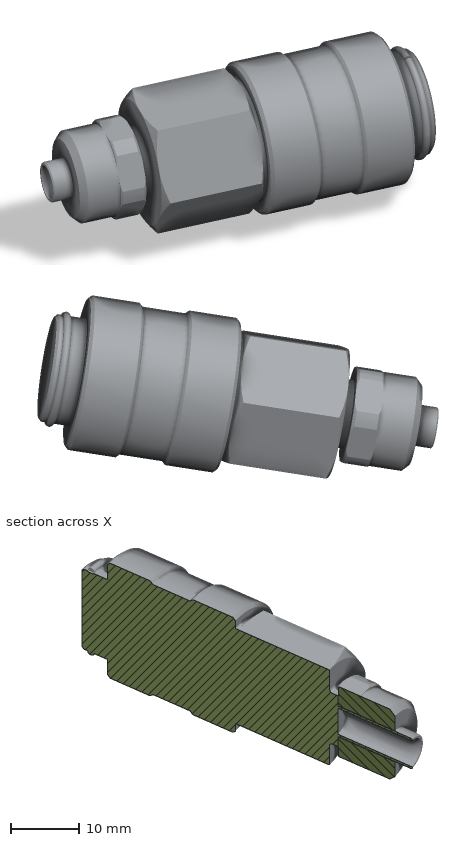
import cadquery as cq
import math


tube_length = 3.0
nut_length = 10.0
neck_length = 1.5
hex_length = 16.0
waist_length = 0.5
sleeve_length = 22.5
plug_length = 4.5

tube_diameter = 6.1
shank_diameter = 6.25
bore_diameter = 5.1
neck_diameter = 10.2
waist_diameter = 19.0
sleeve_diameter = 23.0
sleeve_groove_diameter = 22.0
plug_diameter = 16.0

tube_tip_chamfer = 0.2
shank_taper_length = 0.2
bore_depth = tube_length + nut_length
neck_fillet = 0.5
collar_length = 8.0
collar_chamfer = 0.5
plug_chamfer = 0.4
hex_across_flats = 19.0
hex_chamfer_angle = 30.0

wire_diameter = 1.2
ring_outer_diameter = 17.1
ring_setback = 1.6
ring_gap = 0.45
ring_groove_width = 1.1
ring_groove_depth = 0.15

nut_across_flats = 14.0
nut_corner_diameter = 15.0
nut_barrel_diameter = 14.0
nut_hex_length = 4.0
nut_rear_chamfer = 0.4
nut_shoulder_chamfer = 0.25
nut_front_chamfer = 1.0

nut_front = tube_length
nut_rear = nut_front + nut_length
hex_front = nut_rear + neck_length
hex_rear = hex_front + hex_length
sleeve_front = hex_rear + waist_length
sleeve_rear = sleeve_front + sleeve_length
plug_end = sleeve_rear + plug_length
ring_station = plug_end - ring_setback


def turned(points):
    """Solid of revolution about Y from (radius, y) points, closed along the axis."""
    rim = [(y, radius) for radius, y in points]
    start = (rim[0][0], 0)
    end = (rim[-1][0], 0)
    return cq.Workplane("YZ").polyline([start, *rim, end]).close().revolve(360, (0, 0), (1, 0))


def cylinder(diameter, start, end):
    return turned([(diameter / 2, start), (diameter / 2, end)])


def across_corners(across_flats):
    return across_flats / math.cos(math.pi / 6)


def hex_bar(across_flats, start, end):
    """Hexagonal bar along Y with corners on the X axis."""
    return (
        cq.Workplane("XZ", origin=(0, start, 0))
        .polygon(6, across_corners(across_flats))
        .extrude(start - end)
    )


def wrench_hex():
    """Coupling hexagon with its corners turned down to the across-flats circle at both ends."""
    flat_radius = hex_across_flats / 2
    corner_radius = across_corners(hex_across_flats) / 2
    chamfer_length = (corner_radius - flat_radius) * math.tan(math.radians(hex_chamfer_angle))
    turning = turned([
        (flat_radius, hex_front),
        (corner_radius, hex_front + chamfer_length),
        (corner_radius, hex_rear - chamfer_length),
        (flat_radius, hex_rear),
    ])
    return hex_bar(hex_across_flats, hex_front, hex_rear).intersect(turning)


def sleeve():
    """Grip sleeve: two chamfered collars with a shallow groove between them."""
    collar_radius = sleeve_diameter / 2
    front_collar_end = sleeve_front + collar_length
    rear_collar_start = sleeve_rear - collar_length
    body = cylinder(sleeve_groove_diameter, sleeve_front, sleeve_rear)
    for start, end in ((sleeve_front, front_collar_end), (rear_collar_start, sleeve_rear)):
        body = body.union(turned([
            (collar_radius - collar_chamfer, start),
            (collar_radius, start + collar_chamfer),
            (collar_radius, end - collar_chamfer),
            (collar_radius - collar_chamfer, end),
        ]))
    return body


def plug():
    """Stepped plug end with the ring groove."""
    radius = plug_diameter / 2
    groove_floor = radius - ring_groove_depth
    groove_front = ring_station - ring_groove_width / 2
    groove_rear = ring_station + ring_groove_width / 2
    return turned([
        (radius, sleeve_rear),
        (radius, groove_front),
        (groove_floor, groove_front + ring_groove_depth),
        (groove_floor, groove_rear - ring_groove_depth),
        (radius, groove_rear),
        (radius, plug_end - plug_chamfer),
        (radius - plug_chamfer, plug_end),
    ])


def wire_ring():
    """Round-wire ring with its gap at the top (+Z)."""
    wire_radius = wire_diameter / 2
    centre_radius = ring_outer_diameter / 2 - wire_radius
    ring = (
        cq.Workplane("XY")
        .center(centre_radius, ring_station)
        .circle(wire_radius)
        .revolve(360, (-centre_radius, 0), (-centre_radius, 1))
    )
    gap = (
        cq.Workplane("XY", origin=(0, ring_station, 0))
        .rect(ring_gap, 2 * wire_diameter)
        .extrude(ring_outer_diameter)
    )
    return ring.cut(gap)


def hose_tube():
    """Hose tube, widening by a short taper into the shank that fills the nut up to the neck."""
    radius = tube_diameter / 2
    shank_radius = shank_diameter / 2
    return turned([
        (radius - tube_tip_chamfer, 0),
        (radius, tube_tip_chamfer),
        (radius, nut_front - shank_taper_length),
        (shank_radius, nut_front),
        (shank_radius, nut_rear),
    ])


def neck():
    """Neck between nut and hexagon, with a fillet where it meets the hexagon."""
    radius = neck_diameter / 2
    fillet_start = hex_front - neck_fillet
    return (
        cq.Workplane("YZ")
        .moveTo(nut_rear, 0)
        .lineTo(nut_rear, radius)
        .lineTo(fillet_start, radius)
        .radiusArc((hex_front, radius + neck_fillet), -neck_fillet)
        .lineTo(hex_front, 0)
        .close()
        .revolve(360, (0, 0), (1, 0))
    )


def make_coupling():
    body = hose_tube().union(neck()).union(wrench_hex())
    body = body.union(cylinder(waist_diameter, hex_rear, sleeve_front))
    body = body.union(sleeve()).union(plug()).union(wire_ring())
    return body.cut(cylinder(bore_diameter, 0, bore_depth))


def make_union_nut():
    """Nut with a rounded-corner hexagon at the rear, a round barrel and a bore for the shank."""
    corner_radius = nut_corner_diameter / 2
    barrel_radius = nut_barrel_diameter / 2
    shoulder = nut_rear - nut_hex_length
    hex_turning = turned([
        (corner_radius - nut_shoulder_chamfer, shoulder),
        (corner_radius, shoulder + nut_shoulder_chamfer),
        (corner_radius, nut_rear - nut_rear_chamfer),
        (corner_radius - nut_rear_chamfer, nut_rear),
    ])
    barrel = turned([
        (barrel_radius - nut_front_chamfer, nut_front),
        (barrel_radius, nut_front + nut_front_chamfer),
        (barrel_radius, shoulder),
    ])
    nut = hex_bar(nut_across_flats, shoulder, nut_rear).intersect(hex_turning).union(barrel)
    return nut.cut(cylinder(shank_diameter, nut_front, nut_rear))


coupling = make_coupling()
union_nut = make_union_nut()

result = cq.Compound.makeCompound([coupling.val(), union_nut.val()])